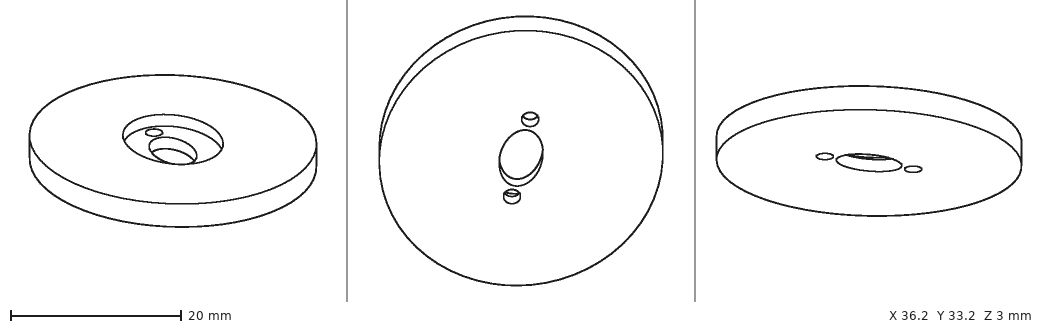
import cadquery as cq

disc_length = 36.25
disc_width = 33.25
disc_thickness = 3.0

recess_length = 14.25
recess_width = 11.25
recess_depth = disc_thickness / 2

window_length = 8.0
window_width = 5.0

pin_hole_diameter = 2.0
pin_hole_spacing = 11.13


def elliptical_plate(length, width, base_z, height):
    """Upright elliptical solid centred on the Z axis."""
    return (
        cq.Workplane("XY")
        .workplane(offset=base_z)
        .ellipse(length / 2, width / 2)
        .extrude(height)
    )


disc = elliptical_plate(disc_length, disc_width, 0, disc_thickness)
recess = elliptical_plate(
    recess_length, recess_width, disc_thickness - recess_depth, recess_depth
)
window = elliptical_plate(window_length, window_width, 0, disc_thickness)
pin_holes = (
    cq.Workplane("XY")
    .pushPoints([(side * pin_hole_spacing / 2, 0) for side in (-1, 1)])
    .circle(pin_hole_diameter / 2)
    .extrude(disc_thickness)
)

result = disc.cut(recess).cut(window).cut(pin_holes)